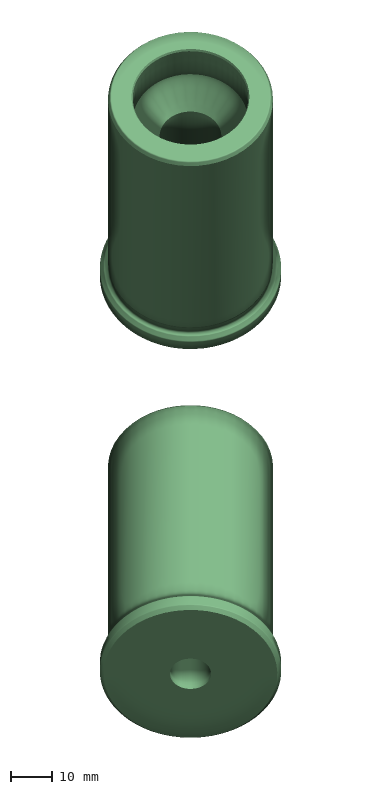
import cadquery as cq
import math

total_height = 75.0
body_diameter = 40.0

flange_diameter = 44.0
flange_height = 5.0
flange_top_chamfer = 1.0
flange_bottom_chamfer = 0.95
flange_edge_radius = 0.4

relief_diameter = 39.7
relief_top = 7.2
relief_runout_angle = 15.0
relief_corner_radius = 0.4

lead_in_height = 1.0
lead_in_angle = 30.0
lead_in_edge_radius = 0.4

pocket_diameter = 28.0
pocket_depth = 10.0
pocket_edge_height = 0.5
pocket_edge_angle = 30.0
seat_angle = 45.0

bore_diameter = 15.0
bore_floor_height = 30.0
outlet_diameter = 10.0
outlet_taper_angle = 30.0

rim_tolerance = 0.001


def cone_height(large_diameter, small_diameter, angle_from_axis):
    """Axial length of a cone between two diameters."""
    return (large_diameter - small_diameter) / 2 / math.tan(math.radians(angle_from_axis))


def revolve_profile(points):
    """Solid of revolution about Z from (radius, height) points."""
    return cq.Workplane("XZ").polyline(points).close().revolve(360, (0, 0, 0), (0, 1, 0))


def round_rims(solid, rims, fillet_radius):
    """Round the circular edges at the given (radius, height) places."""
    def lies_on_rim(edge):
        return edge.geomType() == "CIRCLE" and any(
            math.isclose(edge.radius(), radius, abs_tol=rim_tolerance)
            and math.isclose(edge.Center().z, height, abs_tol=rim_tolerance)
            for radius, height in rims
        )

    rim_edges = [edge for edge in solid.edges().vals() if lies_on_rim(edge)]
    return solid.newObject(rim_edges).fillet(fillet_radius)


def make_outer_body():
    """Flanged cylinder with a relief groove above the flange and a lead-in at the top."""
    body_radius = body_diameter / 2
    flange_radius = flange_diameter / 2
    relief_radius = relief_diameter / 2
    top_radius = body_radius - lead_in_height * math.tan(math.radians(lead_in_angle))

    bottom_rim = (flange_radius - flange_bottom_chamfer, 0)
    lower_rim = (flange_radius, flange_bottom_chamfer)
    upper_rim = (flange_radius, flange_height - flange_top_chamfer)
    shoulder_rim = (flange_radius - flange_top_chamfer, flange_height)
    relief_corner = (relief_radius, flange_height)
    top_rim = (top_radius, total_height)

    solid = revolve_profile([
        (0, 0),
        bottom_rim,
        lower_rim,
        upper_rim,
        shoulder_rim,
        relief_corner,
        (relief_radius, relief_top - cone_height(body_diameter, relief_diameter, relief_runout_angle)),
        (body_radius, relief_top),
        (body_radius, total_height - lead_in_height),
        top_rim,
        (0, total_height),
    ])
    solid = round_rims(solid, [lower_rim, upper_rim, shoulder_rim], flange_edge_radius)
    solid = round_rims(solid, [relief_corner], relief_corner_radius)
    return round_rims(solid, [top_rim], lead_in_edge_radius)


def make_cavity():
    """Stepped bore: top pocket, conical seat, bore, taper and through outlet."""
    pocket_radius = pocket_diameter / 2
    bore_radius = bore_diameter / 2
    outlet_radius = outlet_diameter / 2
    rim_radius = pocket_radius + pocket_edge_height * math.tan(math.radians(pocket_edge_angle))
    seat_top = total_height - pocket_depth
    seat_bottom = seat_top - cone_height(pocket_diameter, bore_diameter, seat_angle)
    taper_bottom = bore_floor_height - cone_height(bore_diameter, outlet_diameter, outlet_taper_angle)

    return revolve_profile([
        (0, 0),
        (outlet_radius, 0),
        (outlet_radius, taper_bottom),
        (bore_radius, bore_floor_height),
        (bore_radius, seat_bottom),
        (pocket_radius, seat_top),
        (pocket_radius, total_height - pocket_edge_height),
        (rim_radius, total_height),
        (0, total_height),
    ])


result = make_outer_body().cut(make_cavity())